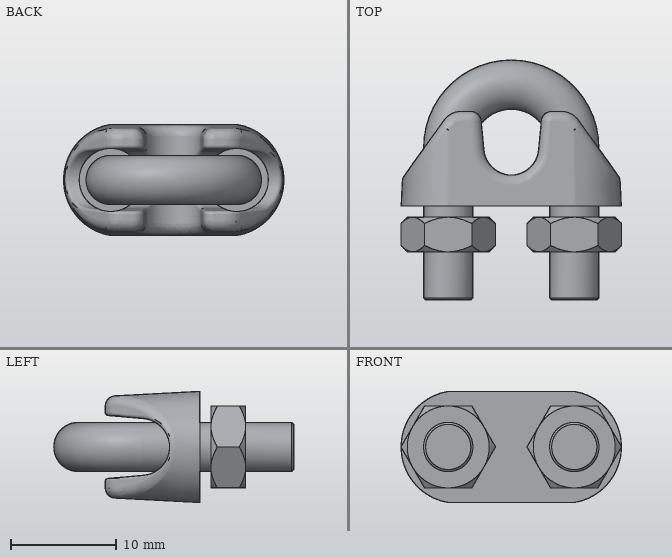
import cadquery as cq
import math


rod_diameter = 4.7
rod_radius = rod_diameter / 2
leg_spacing = 12.0
leg_x = leg_spacing / 2
bend_center_y = 5.57
leg_end_y = -8.93
leg_chamfer = 0.2

nut_across_flats = 7.8
nut_across_corners = nut_across_flats / math.cos(math.radians(30))
nut_chamfer = (nut_across_corners - nut_across_flats) / 2
nut_thickness = 3.3
nut_gap = 1.05

saddle_length = 21.0
saddle_width = 10.6
saddle_height = 9.02
saddle_draft = 3.0
end_blend_radius = 1.05
edge_radius = 1.0

shoulder_top_x = 5.79
shoulder_angle = 35.8
shoulder_radius = 2.0

rope_groove_radius = 2.6
rope_groove_center_y = 5.57
rope_groove_draft = 5.5
rope_groove_lip_radius = 1.0

channel_radius = 2.7
channel_center_y = 5.6
channel_draft = 5.0
channel_rim_radius = 0.3

leg_hole_diameter = 6.0

overshoot = 5.0
pick_margin = 0.01


def make_groove(radius, center_y, draft):
    """U-shaped cutter along Z with drafted sides, opening towards +Y."""
    angle = math.radians(draft)
    tangent_x = radius * math.cos(angle)
    tangent_y = center_y - radius * math.sin(angle)
    mouth_y = saddle_height + overshoot
    mouth_x = tangent_x + (mouth_y - tangent_y) * math.tan(angle)
    return (
        cq.Workplane("XY")
        .moveTo(-mouth_x, mouth_y)
        .lineTo(-tangent_x, tangent_y)
        .threePointArc((0, center_y - radius), (tangent_x, tangent_y))
        .lineTo(mouth_x, mouth_y)
        .close()
        .extrude(saddle_length / 2 + overshoot, both=True)
    )


def make_block():
    """Drafted block with flat sides and bulged ends, blended where they meet."""
    half_length = saddle_length / 2
    half_width = saddle_width / 2
    plate = (
        cq.Workplane("XZ")
        .moveTo(-leg_x, -half_width)
        .lineTo(leg_x, -half_width)
        .threePointArc((half_length, 0), (leg_x, half_width))
        .lineTo(-leg_x, half_width)
        .threePointArc((-half_length, 0), (-leg_x, -half_width))
        .close()
        .extrude(-saddle_height)
        .edges("|Y")
        .fillet(end_blend_radius)
    )
    outline = plate.faces("<Y").wires().toPending().workplane()
    return outline.extrude(-saddle_height, taper=saddle_draft, combine=False)


def make_side_profile():
    """Prism along Z: sloping shoulders and two rounded arms beside the rope groove."""
    base_x = shoulder_top_x + saddle_height * math.tan(math.radians(shoulder_angle))
    prism = (
        cq.Workplane("XY")
        .moveTo(-base_x, 0)
        .lineTo(base_x, 0)
        .lineTo(shoulder_top_x, saddle_height)
        .lineTo(-shoulder_top_x, saddle_height)
        .close()
        .extrude(saddle_width / 2 + overshoot, both=True)
        .edges("|Z and >Y")
        .fillet(shoulder_radius)
    )
    prism = prism.cut(make_groove(rope_groove_radius, rope_groove_center_y, rope_groove_draft))
    lip_limit_x = shoulder_top_x - shoulder_radius
    groove_lips = cq.selectors.BoxSelector(
        (-lip_limit_x, saddle_height - pick_margin, -saddle_width),
        (lip_limit_x, saddle_height + pick_margin, saddle_width),
    )
    return prism.edges("|Z").edges(groove_lips).fillet(rope_groove_lip_radius)


def round_outer_edges(body):
    """Round every edge between the block's walls and the side profile."""
    above_base = cq.selectors.BoxSelector(
        (-saddle_length, pick_margin, -saddle_width),
        (saddle_length, saddle_height + overshoot, saddle_width),
        boundingbox=True,
    )
    return body.edges(above_base).edges("not |Z").fillet(edge_radius)


def cut_channel(body):
    """Cut the bolt channel along X and round its rim."""
    channel = make_groove(channel_radius, channel_center_y, channel_draft)
    body = body.cut(channel.rotate((0, 0, 0), (0, 1, 0), 90))
    zone_z = channel_radius + edge_radius
    middle_zone = cq.selectors.BoxSelector(
        (-saddle_length, pick_margin, -zone_z),
        (saddle_length, saddle_height + overshoot, zone_z),
        boundingbox=True,
    )
    rim = body.faces(middle_zone).edges("(not |X) or >Y")
    return rim.fillet(channel_rim_radius)


def make_saddle():
    body = make_block().intersect(make_side_profile())
    body = cut_channel(round_outer_edges(body))
    leg_holes = (
        cq.Workplane("XZ")
        .pushPoints([(-leg_x, 0), (leg_x, 0)])
        .circle(leg_hole_diameter / 2)
        .extrude(-saddle_height)
    )
    return body.cut(leg_holes)


def make_nut(x):
    """Hexagon with corners along X, its corners chamfered on both faces."""
    seat = cq.Workplane("XZ", origin=(x, -nut_gap, 0))
    hexagon = seat.polygon(6, nut_across_corners).extrude(nut_thickness)
    chamfered_disc = seat.circle(nut_across_corners / 2).extrude(nut_thickness).edges().chamfer(nut_chamfer)
    return hexagon.intersect(chamfered_disc)


def make_leg(x):
    """Straight rod from the bend to its chamfered end."""
    leg_length = bend_center_y - leg_end_y
    leg = cq.Workplane("XZ", origin=(x, bend_center_y, 0)).circle(rod_radius).extrude(leg_length)
    return leg.faces("<Y").edges().chamfer(leg_chamfer)


def make_u_bolt():
    body = (
        cq.Workplane("XZ", origin=(leg_x, bend_center_y, 0))
        .circle(rod_radius)
        .revolve(180, (-leg_x, 0, 0), (-leg_x, 1, 0))
    )
    for x in (-leg_x, leg_x):
        body = body.union(make_leg(x)).union(make_nut(x))
    return body


saddle = make_saddle()
u_bolt = make_u_bolt()

result = cq.Compound.makeCompound([saddle.solids().val(), u_bolt.solids().val()])